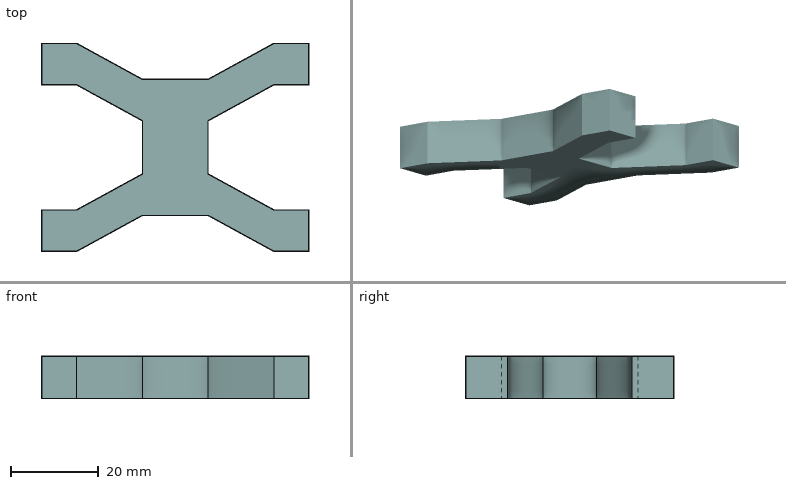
import cadquery as cq

length = 61.0
width = 47.5
thickness = 9.75

web_length = 15.0
foot_length = 8.0
arm_width = 9.5
arm_rise = 8.2

x_web = web_length / 2
x_end = length / 2
x_foot = x_end - foot_length

y_foot_outer = width / 2
y_foot_inner = y_foot_outer - arm_width
y_web_outer = y_foot_outer - arm_rise
y_web_inner = y_foot_inner - arm_rise


def arm_outline(x_side, y_side):
    """Points of one arm, from its outer web corner round the foot to its inner web corner."""
    corners = [
        (x_web, y_web_outer),
        (x_foot, y_foot_outer),
        (x_end, y_foot_outer),
        (x_end, y_foot_inner),
        (x_foot, y_foot_inner),
        (x_web, y_web_inner),
    ]
    return [(x_side * x, y_side * y) for x, y in corners]


def plate_outline():
    """Closed outline of the X-shaped plate, running clockwise from the +X +Y arm."""
    return (
        arm_outline(1, 1)
        + arm_outline(1, -1)[::-1]
        + arm_outline(-1, -1)
        + arm_outline(-1, 1)[::-1]
    )


result = cq.Workplane("XY").polyline(plate_outline()).close().extrude(thickness)